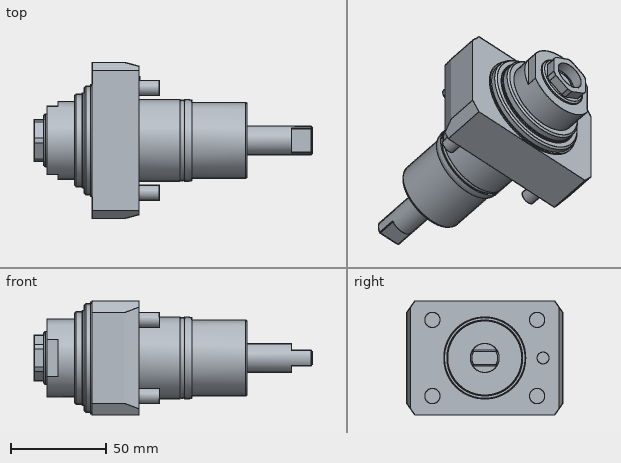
import cadquery as cq


PLATE_THICKNESS = 24.75
PLATE_WIDTH = 82.0
PLATE_HEIGHT = 60.0
CORNER_Y = 4.3
CORNER_Z = 6.1
BEVEL_LENGTH = 7.5
BEVEL_DEPTH = 2.0

SHOULDER_X = -25.5
SHOULDER_RADIUS = 29.5
LARGE_RING_X = -28.95
LARGE_RING_RADIUS = 28.6
COLLAR_X = -30.1
COLLAR_RADIUS = 25.0
COLLAR_CHAMFER = 0.4
SMALL_RING_X = -34.05
SMALL_RING_RADIUS = 24.35
RING_CHAMFER = 1.0
NOSE_X = -48.5
NOSE_RADIUS = 20.5
NOSE_FLAT_WIDTH = 36.0
NOSE_FLAT_LENGTH = 5.75
WASHER_X = -50.2
WASHER_RADIUS = 14.0
WASHER_CHAMFER = 0.9

NUT_FRONT_X = -55.23
NUT_ACROSS_FLATS = 22.0
NUT_CORNER_WIDTH = 24.0
BORE_RADIUS = 7.9
BORE_DEPTH = 6.0
BORE_STEP_RADIUS = 6.65
BORE_STEP_DEPTH = 0.1

PILOT_RADIUS = 21.55
PILOT_X = 27.6
PILOT_CHAMFER_LENGTH = 1.7
PILOT_CHAMFER_DEPTH = 0.4
GROOVE_X = 21.5
GROOVE_WIDTH = 2.3
GROOVE_FLOOR_RADIUS = 20.5
SEAL_RADIUS = 21.3
BODY_X = 56.7
BODY_RADIUS = 19.95
BODY_CHAMFER_LENGTH = 0.9
BODY_CHAMFER_DEPTH = 0.5

SHAFT_END_X = 91.0
SHAFT_RADIUS = 7.6
TANG_START_X = 80.0
TANG_THICKNESS = 8.2
TANG_SIDE_CHAMFER = 0.3
TANG_END_CHAMFER = 0.8

SCREW_RADIUS = 4.0
SCREW_LENGTH = 10.55
SCREW_PITCH_Y = 55.0
SCREW_PITCH_Z = 40.0
PAD_RADIUS = 3.1
PAD_HEIGHT = 0.3
PAD_Y = 30.6


def cylinder(start_x, end_x, radius, y=0.0, z=0.0):
    """Cylinder parallel to X between two X positions."""
    return cq.Workplane("YZ", origin=(start_x, y, z)).circle(radius).extrude(end_x - start_x)


def box(start_x, end_x, width, height):
    """Block centred on the X axis between two X positions."""
    return cq.Workplane("YZ", origin=(start_x, 0, 0)).rect(width, height).extrude(end_x - start_x)


def make_plate():
    """Rectangular plate with cut corners and side faces bevelled towards the rear."""
    half_y = PLATE_WIDTH / 2
    half_z = PLATE_HEIGHT / 2
    outline = [
        (half_y, half_z - CORNER_Z),
        (half_y - CORNER_Y, half_z),
        (CORNER_Y - half_y, half_z),
        (-half_y, half_z - CORNER_Z),
        (-half_y, CORNER_Z - half_z),
        (CORNER_Y - half_y, -half_z),
        (half_y - CORNER_Y, -half_z),
        (half_y, CORNER_Z - half_z),
    ]
    plate = cq.Workplane("YZ", origin=(-PLATE_THICKNESS, 0, 0)).polyline(outline).close()
    plate = plate.extrude(PLATE_THICKNESS)
    plan = [
        (-PLATE_THICKNESS, -half_y),
        (-BEVEL_LENGTH, -half_y),
        (0, BEVEL_DEPTH - half_y),
        (0, half_y - BEVEL_DEPTH),
        (-BEVEL_LENGTH, half_y),
        (-PLATE_THICKNESS, half_y),
    ]
    bevelled = cq.Workplane("XY").polyline(plan).close().extrude(half_z, both=True)
    return plate.intersect(bevelled)


def make_nose():
    """Stepped round nose with two wrench flats at its front end."""
    flat_end_x = NOSE_X + NOSE_FLAT_LENGTH
    flatted = cylinder(NOSE_X, flat_end_x, NOSE_RADIUS)
    flatted = flatted.intersect(box(NOSE_X, flat_end_x, NOSE_FLAT_WIDTH, 2 * NOSE_RADIUS))
    washer = cylinder(WASHER_X, NOSE_X, WASHER_RADIUS).faces("<X").chamfer(WASHER_CHAMFER)
    small_ring = cylinder(SMALL_RING_X, COLLAR_X, SMALL_RING_RADIUS).faces("<X").chamfer(RING_CHAMFER)
    collar = cylinder(COLLAR_X, LARGE_RING_X, COLLAR_RADIUS).faces("<X").chamfer(COLLAR_CHAMFER)
    large_ring = cylinder(LARGE_RING_X, SHOULDER_X, LARGE_RING_RADIUS).faces("<X").chamfer(RING_CHAMFER)
    return (
        washer.union(flatted)
        .union(cylinder(flat_end_x, SMALL_RING_X, NOSE_RADIUS))
        .union(small_ring)
        .union(collar)
        .union(large_ring)
        .union(cylinder(SHOULDER_X, -PLATE_THICKNESS, SHOULDER_RADIUS))
    )


def make_nut():
    """Hexagonal nut with trimmed corners; two of its flats face +Y and -Y."""
    nut = box(NUT_FRONT_X, WASHER_X, NUT_ACROSS_FLATS, 2 * NUT_ACROSS_FLATS)
    for angle in (60, 120):
        slab = box(NUT_FRONT_X, WASHER_X, NUT_ACROSS_FLATS, 2 * NUT_ACROSS_FLATS)
        nut = nut.intersect(slab.rotate((0, 0, 0), (1, 0, 0), angle))
    return nut.intersect(cylinder(NUT_FRONT_X, WASHER_X, NUT_CORNER_WIDTH / 2))


def make_bore():
    """Blind front bore with a shallow smaller step at its floor."""
    floor_x = NUT_FRONT_X + BORE_DEPTH
    bore = cylinder(NUT_FRONT_X, floor_x, BORE_RADIUS)
    return bore.union(cylinder(floor_x, floor_x + BORE_STEP_DEPTH, BORE_STEP_RADIUS))


def make_shank():
    """Pilot with a round seal in its groove, followed by the slimmer body."""
    groove_end_x = GROOVE_X + GROOVE_WIDTH
    profile = (
        cq.Workplane("XY")
        .moveTo(0, 0)
        .lineTo(0, PILOT_RADIUS)
        .lineTo(GROOVE_X, PILOT_RADIUS)
        .lineTo(GROOVE_X, GROOVE_FLOOR_RADIUS)
        .threePointArc(
            ((GROOVE_X + groove_end_x) / 2, SEAL_RADIUS),
            (groove_end_x, GROOVE_FLOOR_RADIUS),
        )
        .lineTo(groove_end_x, PILOT_RADIUS)
        .lineTo(PILOT_X - PILOT_CHAMFER_LENGTH, PILOT_RADIUS)
        .lineTo(PILOT_X, PILOT_RADIUS - PILOT_CHAMFER_DEPTH)
        .lineTo(PILOT_X, BODY_RADIUS)
        .lineTo(BODY_X - BODY_CHAMFER_LENGTH, BODY_RADIUS)
        .lineTo(BODY_X, BODY_RADIUS - BODY_CHAMFER_DEPTH)
        .lineTo(BODY_X, 0)
        .close()
    )
    return profile.revolve(360, (0, 0, 0), (1, 0, 0))


def make_shaft():
    """Drive shaft whose end is milled to a flat tang with chamfered edges."""
    tang = cylinder(TANG_START_X, SHAFT_END_X, SHAFT_RADIUS)
    tang = tang.intersect(box(TANG_START_X, SHAFT_END_X, 2 * SHAFT_RADIUS, TANG_THICKNESS))
    tang = tang.faces("|Z").edges("|X").chamfer(TANG_SIDE_CHAMFER)
    tang = tang.faces(">X").chamfer(TANG_END_CHAMFER)
    return cylinder(BODY_X, TANG_START_X, SHAFT_RADIUS).union(tang)


def make_rear_details():
    """Four screw ends and one low round pad on the rear of the plate."""
    details = cylinder(0, PAD_HEIGHT, PAD_RADIUS, PAD_Y)
    for side_y in (-1, 1):
        for side_z in (-1, 1):
            y = side_y * SCREW_PITCH_Y / 2
            z = side_z * SCREW_PITCH_Z / 2
            details = details.union(cylinder(0, SCREW_LENGTH, SCREW_RADIUS, y, z))
    return details


result = (
    make_plate()
    .union(make_nose())
    .union(make_nut())
    .union(make_shank())
    .union(make_shaft())
    .union(make_rear_details())
    .cut(make_bore())
)